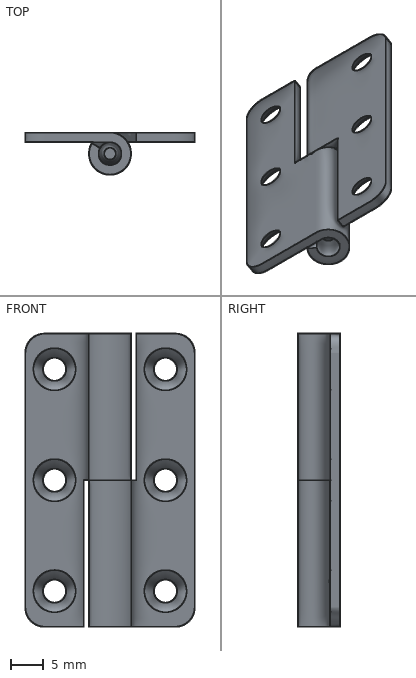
import cadquery as cq
import math

hinge_length = 45.0
hinge_width = 26.0
barrel_radius = 3.25
sheet_thickness = 1.5
corner_radius = 3.0
notch_edge_x = 4.0
curl_end_angle = 150.0

screw_hole_radius = 1.75
screw_hole_x = 8.5
screw_hole_pitch = 17.0
screw_hole_count = 3

pin_taper_inset = 0.85
pin_taper_length = 5.0
pin_recess = 3.0

half_length = hinge_length / 2
half_width = hinge_width / 2
bore_radius = barrel_radius - sheet_thickness
countersink_radius = screw_hole_radius + sheet_thickness
pin_length = hinge_length - 2 * pin_recess


def polar_point(radius, angle_degrees):
    angle = math.radians(angle_degrees)
    return (radius * math.cos(angle), radius * math.sin(angle))


def make_plate():
    """Flat plate on the -X side, with its two outer corners rounded."""
    return (
        cq.Workplane("XY")
        .box(half_width - notch_edge_x, sheet_thickness, hinge_length, centered=False)
        .translate((-half_width, bore_radius, -half_length))
        .edges("|Y and <X")
        .fillet(corner_radius)
    )


def make_knuckle():
    """Upper half of the sheet, running from the plate to the axis and rolled round the pin."""
    middle_angle = (90 + curl_end_angle - 360) / 2
    return (
        cq.Workplane("XY")
        .moveTo(-notch_edge_x, barrel_radius)
        .lineTo(0, barrel_radius)
        .threePointArc(
            polar_point(barrel_radius, middle_angle),
            polar_point(barrel_radius, curl_end_angle),
        )
        .lineTo(*polar_point(bore_radius, curl_end_angle))
        .threePointArc(polar_point(bore_radius, middle_angle), (0, bore_radius))
        .lineTo(-notch_edge_x, bore_radius)
        .close()
        .extrude(half_length)
    )


def make_screw_hole(z):
    """Conical cutter, widest on the -Y face of the plate."""
    return cq.Solid.makeCone(
        countersink_radius,
        screw_hole_radius,
        sheet_thickness,
        pnt=cq.Vector(-screw_hole_x, bore_radius, z),
        dir=cq.Vector(0, 1, 0),
    )


def make_leaf():
    leaf = make_plate().union(make_knuckle())
    for index in range(screw_hole_count):
        z = (index - (screw_hole_count - 1) / 2) * screw_hole_pitch
        leaf = leaf.cut(cq.Workplane(make_screw_hole(z)))
    return leaf


def make_pin():
    return (
        cq.Workplane("XY")
        .circle(bore_radius)
        .extrude(pin_length / 2, both=True)
        .faces("|Z")
        .chamfer(pin_taper_length, pin_taper_inset)
    )


leaves = []
for turn in (0, 180):
    leaves.append(make_leaf().rotate((0, 0, 0), (0, 1, 0), turn).solids().val())

pin = make_pin()

result = cq.Compound.makeCompound([*leaves, pin.solids().val()])